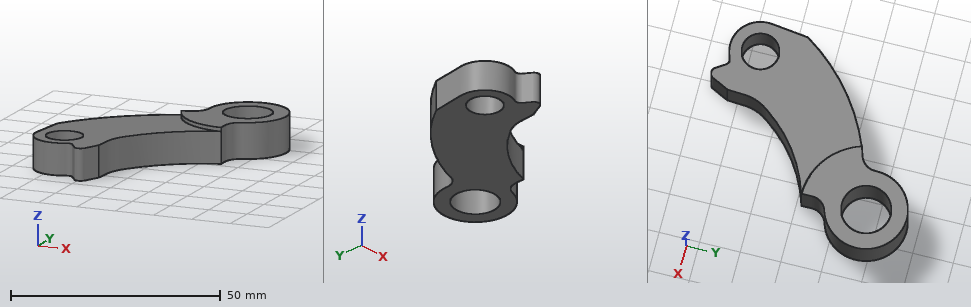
import cadquery as cq
import math

arm_thickness = 8.0
ring_thickness = 9.0

ring_radius = 10.0
ring_bore_radius = 6.0
step_radius = 16.0
neck_fillet = 4.0
neck_flare = 18.0
neck_start_angle = 198.0
neck_end_angle = 270.0

pin_center = (-32.7, -34.5)
pin_boss_radius = 7.5
pin_bore_radius = 4.55

back_corner = (-38.95, -24.4)
back_arc_radius = 50.25
belly_arc_radius = 35.45
belly_end = (-18.9, -29.5)
throat_radius = 10.9
throat_end = (-21.2, -36.3)
tooth_shoulder = (-21.4, -39.7)

tooth_radius = 1.55
tooth_center = (-24.7, -43.05)
valley_x = -28.7


def polar(center, radius, angle):
    """Point on a circle, with the angle in degrees."""
    turn = math.radians(angle)
    return (center[0] + radius * math.cos(turn), center[1] + radius * math.sin(turn))


def direction(start, end):
    """Heading from one point to another, in degrees."""
    return math.degrees(math.atan2(end[1] - start[1], end[0] - start[0]))


def tangent_angle(center, radius, point, side):
    """Angle on a circle where a line from an outside point touches it."""
    opening = math.degrees(math.acos(radius / math.dist(center, point)))
    return direction(center, point) + side * opening


def bulge_point(start, end, radius):
    """Middle of the minor arc that bulges to the left of start-to-end."""
    half_chord = math.dist(start, end) / 2
    sagitta = radius - math.sqrt(radius**2 - half_chord**2)
    middle = ((start[0] + end[0]) / 2, (start[1] + end[1]) / 2)
    return polar(middle, sagitta, direction(start, end) + 90)


ring_center = (0.0, 0.0)
corner_distance = ring_radius / math.cos(math.radians(neck_flare))
corner_angle = 90 + neck_flare
fillet_setback = neck_fillet / math.tan(math.radians(corner_angle / 2))
fillet_start_distance = corner_distance + fillet_setback
fillet_center_distance = math.hypot(fillet_start_distance, neck_fillet)
fillet_center_turn = math.degrees(math.atan2(neck_fillet, fillet_start_distance))
back_step = polar(ring_center, step_radius, neck_start_angle)
belly_step = polar(ring_center, step_radius, neck_end_angle)

valley_drop = math.sqrt((pin_boss_radius + tooth_radius)**2 - (valley_x - pin_center[0])**2)
valley_center = (valley_x, pin_center[1] - valley_drop)
flank_middle = (
    (valley_center[0] + tooth_center[0]) / 2,
    (valley_center[1] + tooth_center[1]) / 2,
)
boss_start_angle = tangent_angle(pin_center, pin_boss_radius, back_corner, 1)
boss_end_angle = direction(pin_center, valley_center)
valley_start_angle = direction(valley_center, pin_center)
valley_end_angle = tangent_angle(valley_center, tooth_radius, flank_middle, 1)
tip_start_angle = valley_end_angle - 180
tip_end_angle = tangent_angle(tooth_center, tooth_radius, tooth_shoulder, -1)


def add_arc(sketch, center, radius, start_angle, end_angle):
    """Continue an outline along a circle to the end angle."""
    middle = polar(center, radius, (start_angle + end_angle) / 2)
    return sketch.threePointArc(middle, polar(center, radius, end_angle))


def add_neck_and_ring(sketch):
    """Continue from the belly step around the ring to the back step."""
    belly_fillet = polar(ring_center, fillet_center_distance, neck_end_angle + fillet_center_turn)
    back_fillet = polar(ring_center, fillet_center_distance, neck_start_angle - fillet_center_turn)
    ring_start = neck_end_angle + neck_flare - 360
    ring_end = neck_start_angle - neck_flare
    sketch = sketch.lineTo(*polar(ring_center, fillet_start_distance, neck_end_angle))
    sketch = add_arc(sketch, belly_fillet, neck_fillet, neck_end_angle - 90, ring_start + 180)
    sketch = sketch.lineTo(*polar(ring_center, ring_radius, ring_start))
    sketch = add_arc(sketch, ring_center, ring_radius, ring_start, ring_end)
    sketch = sketch.lineTo(*polar(back_fillet, neck_fillet, ring_end + 180))
    sketch = add_arc(sketch, back_fillet, neck_fillet, ring_end + 180, neck_start_angle + 90)
    return sketch.lineTo(*back_step)


def make_arm():
    """Full lever outline at the lower arm thickness."""
    sketch = cq.Workplane("XY").moveTo(*back_step)
    sketch = sketch.threePointArc(bulge_point(back_corner, back_step, back_arc_radius), back_corner)
    sketch = sketch.lineTo(*polar(pin_center, pin_boss_radius, boss_start_angle))
    sketch = add_arc(sketch, pin_center, pin_boss_radius, boss_start_angle, boss_end_angle + 360)
    sketch = add_arc(sketch, valley_center, tooth_radius, valley_start_angle, valley_end_angle)
    sketch = sketch.lineTo(*polar(tooth_center, tooth_radius, tip_start_angle))
    sketch = add_arc(sketch, tooth_center, tooth_radius, tip_start_angle, tip_end_angle)
    sketch = sketch.lineTo(*tooth_shoulder).lineTo(*throat_end)
    sketch = sketch.threePointArc(bulge_point(throat_end, belly_end, throat_radius), belly_end)
    sketch = sketch.threePointArc(bulge_point(belly_end, belly_step, belly_arc_radius), belly_step)
    return add_neck_and_ring(sketch).close().extrude(arm_thickness)


def make_ring_pad():
    """Ring and neck at full thickness, ending in the curved step."""
    sketch = cq.Workplane("XY").moveTo(*back_step)
    sketch = add_arc(sketch, ring_center, step_radius, neck_start_angle, neck_end_angle)
    return add_neck_and_ring(sketch).close().extrude(ring_thickness)


def make_bore(center, radius):
    return cq.Workplane("XY").center(*center).circle(radius).extrude(ring_thickness)


lever = make_arm().union(make_ring_pad())
result = lever.cut(make_bore(ring_center, ring_bore_radius)).cut(make_bore(pin_center, pin_bore_radius))